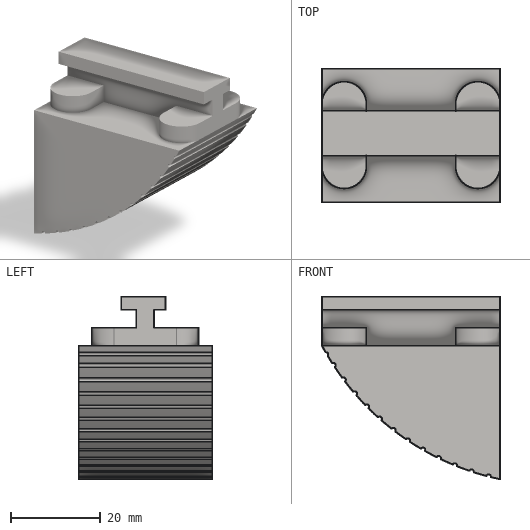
import cadquery as cq
import math

LENGTH = 40.0
WIDTH = 30.0
TOTAL_HEIGHT = 41.0
ARC_RADIUS = 59.05

CAP_WIDTH = 10.0
CAP_THICKNESS = 3.0
CAP_OFFSET = 0.5
WEB_WIDTH = 4.0
RAIL_HEIGHT = 11.0

PAD_WIDTH = 10.0
PAD_LENGTH = 24.0
PAD_HEIGHT = 4.0

UPPER_OFFSET = 0.1

GROOVE_RADIUS = 0.5
GROOVE_COUNT = 12
LOWEST_GROOVE_ANGLE = 14.4
GROOVE_PITCH_ANGLE = 3.87
EDGE_GROOVE_ANGLE = 59.8
EDGE_GROOVE_LIFT = 0.15

wedge_height = TOTAL_HEIGHT - RAIL_HEIGHT
chord = math.hypot(LENGTH, wedge_height)
center_offset = math.sqrt(ARC_RADIUS**2 - (chord / 2) ** 2)
arc_center_x = LENGTH / 2 + center_offset * wedge_height / chord
arc_center_z = -wedge_height / 2 + center_offset * LENGTH / chord


def point_on_arc(angle, lift=0.0):
    """XZ point of the curved face at an angle from straight down, lifted outward if asked."""
    radius = ARC_RADIUS + lift
    turn = math.radians(angle)
    return (
        arc_center_x - radius * math.sin(turn),
        arc_center_z - radius * math.cos(turn),
    )


def make_wedge():
    middle_angle = math.degrees(math.atan2(wedge_height, LENGTH))
    return (
        cq.Workplane("XZ")
        .lineTo(LENGTH, 0)
        .lineTo(LENGTH, -wedge_height)
        .threePointArc(point_on_arc(middle_angle), (0, 0))
        .close()
        .extrude(WIDTH / 2, both=True)
    )


def make_grooves():
    angles = [LOWEST_GROOVE_ANGLE + i * GROOVE_PITCH_ANGLE for i in range(GROOVE_COUNT)]
    axes = [point_on_arc(angle) for angle in angles]
    axes.append(point_on_arc(EDGE_GROOVE_ANGLE, EDGE_GROOVE_LIFT))
    return (
        cq.Workplane("XZ")
        .pushPoints(axes)
        .circle(GROOVE_RADIUS)
        .extrude(WIDTH / 2, both=True)
    )


def make_rail():
    low_corner = (False, True, False)
    web = (
        cq.Workplane("XY")
        .center(0, UPPER_OFFSET)
        .box(LENGTH, WEB_WIDTH, RAIL_HEIGHT, centered=low_corner)
    )
    cap = (
        cq.Workplane("XY")
        .workplane(offset=RAIL_HEIGHT - CAP_THICKNESS)
        .center(0, CAP_OFFSET)
        .box(LENGTH, CAP_WIDTH, CAP_THICKNESS, centered=low_corner)
    )
    return web.union(cap)


def make_pads():
    return (
        cq.Workplane("XY")
        .pushPoints([(PAD_WIDTH / 2, UPPER_OFFSET), (LENGTH - PAD_WIDTH / 2, UPPER_OFFSET)])
        .slot2D(PAD_LENGTH, PAD_WIDTH, 90)
        .extrude(PAD_HEIGHT)
    )


result = make_wedge().cut(make_grooves()).union(make_rail()).union(make_pads())